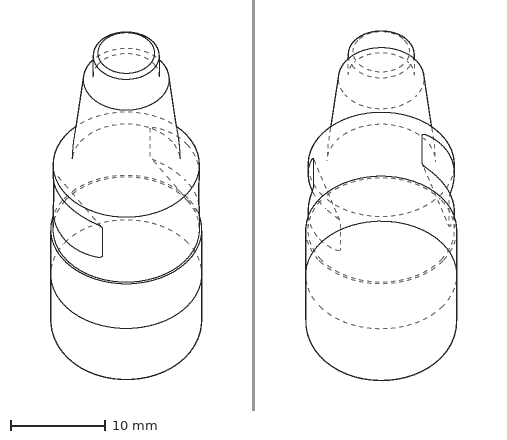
import cadquery as cq
import math

base_diameter = 16.0
cap_height = 9.0
cap_bottom_fillet = 2.0
base_top_z = 15.8

neck_diameter = 15.5
neck_top_z = 25.7
flat_distance = 12.0
flat_center_z = 21.45
flat_root_width = 4.8
flat_wall_angle = 15.0
flat_root_fillet = 0.5

seat_height = 13.0
seat_top_diameter = 9.1
taper_half_angle = 6.0
taper_length = 10.15
seat_root_fillet = 0.4

stud_diameter = 7.0
stud_length = 4.0
stud_chamfer_radial = 0.5
stud_chamfer_axial = 0.4
stud_root_fillet = 0.5


def make_cap():
    """Round cap with a rounded bottom edge."""
    cap = cq.Workplane("XY").circle(base_diameter / 2).extrude(cap_height)
    return cap.faces("<Z").edges().fillet(cap_bottom_fillet)


def concave_fillet(profile, wall_radius, floor_z, fillet_radius):
    """Draw the quarter arc from a floor up to a vertical wall."""
    offset = fillet_radius * (1 - math.cos(math.pi / 4))
    return profile.threePointArc(
        (wall_radius + offset, floor_z + offset),
        (wall_radius, floor_z + fillet_radius),
    )


def make_turned_body():
    """Base, neck, tapered seat and stud, revolved about Z."""
    base_radius = base_diameter / 2
    neck_radius = neck_diameter / 2
    stud_radius = stud_diameter / 2

    seat_top_z = neck_top_z + seat_height
    seat_top_radius = seat_top_diameter / 2
    taper_bottom_z = seat_top_z - taper_length
    taper = math.radians(taper_half_angle)
    taper_bottom_radius = seat_top_radius + taper_length * math.tan(taper)

    blend_bottom_z = neck_top_z + seat_root_fillet
    blend_radius = (taper_bottom_z - blend_bottom_z) / math.sin(taper)
    blend_center_x = taper_bottom_radius - blend_radius * math.cos(taper)
    seat_root_radius = blend_center_x + blend_radius
    blend_middle = (
        blend_center_x + blend_radius * math.cos(taper / 2),
        blend_bottom_z + blend_radius * math.sin(taper / 2),
    )

    stud_top_z = seat_top_z + stud_length

    profile = (
        cq.Workplane("XZ")
        .moveTo(0, cap_height)
        .lineTo(base_radius, cap_height)
        .lineTo(base_radius, base_top_z)
        .lineTo(neck_radius, base_top_z)
        .lineTo(neck_radius, neck_top_z)
        .lineTo(seat_root_radius + seat_root_fillet, neck_top_z)
    )
    profile = concave_fillet(profile, seat_root_radius, neck_top_z, seat_root_fillet)
    profile = (
        profile.threePointArc(blend_middle, (taper_bottom_radius, taper_bottom_z))
        .lineTo(seat_top_radius, seat_top_z)
        .lineTo(stud_radius + stud_root_fillet, seat_top_z)
    )
    profile = concave_fillet(profile, stud_radius, seat_top_z, stud_root_fillet)
    profile = (
        profile.lineTo(stud_radius, stud_top_z - stud_chamfer_axial)
        .lineTo(stud_radius - stud_chamfer_radial, stud_top_z)
        .lineTo(0, stud_top_z)
        .close()
    )
    return profile.revolve(360, (0, 0, 0), (0, 1, 0))


def make_flat_cutter(side):
    """Flaring slot along X that leaves a wrench flat on the +Y (1) or -Y (-1) side."""
    root_y = flat_distance / 2
    outer_y = base_diameter / 2
    root_half = flat_root_width / 2
    outer_half = root_half + (outer_y - root_y) * math.tan(math.radians(flat_wall_angle))
    cutter = (
        cq.Workplane("YZ")
        .polyline([
            (side * root_y, flat_center_z - root_half),
            (side * outer_y, flat_center_z - outer_half),
            (side * outer_y, flat_center_z + outer_half),
            (side * root_y, flat_center_z + root_half),
        ])
        .close()
        .extrude(base_diameter / 2, both=True)
    )
    root_face = "<Y" if side > 0 else ">Y"
    return cutter.faces(root_face).edges("|X").fillet(flat_root_fillet)


def make_body():
    """Turned body with a wrench flat on both Y sides."""
    body = make_turned_body()
    for side in (-1, 1):
        body = body.cut(make_flat_cutter(side))
    return body.solids()


cap = make_cap()
body = make_body()

result = cq.Compound.makeCompound([cap.val(), body.val()])